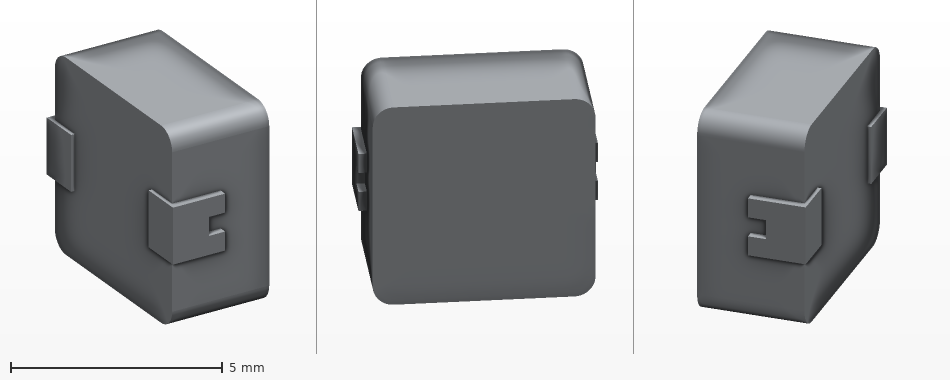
import cadquery as cq

body_width = 5.3
body_depth = 2.7
body_height = 5.2
corner_radius = 0.5

overall_width = 5.7
overall_depth = 2.8
terminal_height = 1.5
pad_length = 1.1
leg_length = 1.45
notch_height = 0.5
notch_depth = 0.45

leg_thickness = (overall_width - body_width) / 2
pad_thickness = overall_depth - body_depth
pad_face_y = -pad_thickness


def make_body():
    """Block with rounded corners, from Y = 0 to Y = body_depth."""
    return (
        cq.Workplane("XY")
        .box(body_width, body_depth, body_height)
        .edges("|Y")
        .fillet(corner_radius)
        .translate((0, body_depth / 2, 0))
    )


def make_terminal():
    """L-shaped clip on the -X side, with a notch in the end of its leg."""
    outer_x = -overall_width / 2
    leg_end_y = pad_face_y + leg_length
    clip = (
        cq.Workplane("XY")
        .moveTo(outer_x, pad_face_y)
        .lineTo(outer_x + pad_length, pad_face_y)
        .lineTo(outer_x + pad_length, 0)
        .lineTo(-body_width / 2, 0)
        .lineTo(-body_width / 2, leg_end_y)
        .lineTo(outer_x, leg_end_y)
        .close()
        .extrude(terminal_height / 2, both=True)
    )
    notch = cq.Workplane("XY").box(leg_thickness, notch_depth, notch_height).translate(
        (outer_x + leg_thickness / 2, leg_end_y - notch_depth / 2, 0)
    )
    return clip.cut(notch)


terminal = make_terminal()
result = make_body().union(terminal).union(terminal.mirror("YZ"))